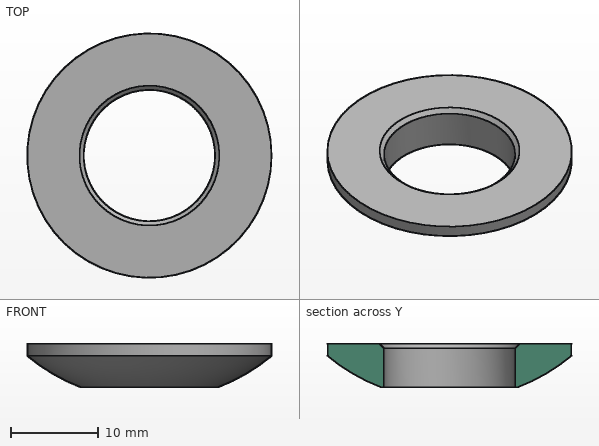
import cadquery as cq
import math

outer_radius = 14.0
height = 5.0
rim_height = 1.4
bottom_radius = 7.85
hole_radius = 7.5
chamfer = 0.5

rim_bottom = height - rim_height
center_height = (outer_radius**2 + rim_bottom**2 - bottom_radius**2) / (2 * rim_bottom)
sphere_radius = math.hypot(bottom_radius, center_height)
middle_radius = (outer_radius + bottom_radius) / 2
middle_height = center_height - math.sqrt(sphere_radius**2 - middle_radius**2)

section = (
    cq.Workplane("XZ")
    .moveTo(hole_radius, 0)
    .lineTo(bottom_radius, 0)
    .threePointArc((middle_radius, middle_height), (outer_radius, rim_bottom))
    .lineTo(outer_radius, height)
    .lineTo(hole_radius + chamfer, height)
    .lineTo(hole_radius, height - chamfer)
    .close()
)

result = section.revolve(360, (0, 0, 0), (0, 1, 0))